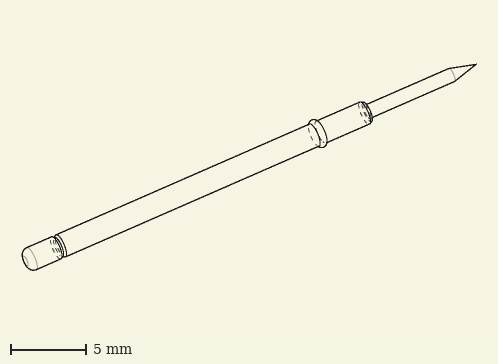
import cadquery as cq

LENGTH = 34.3

BARREL_DIAMETER = 1.6
BARREL_RADIUS = BARREL_DIAMETER / 2
BARREL_LENGTH = 26.0
MOUTH_CHAMFER_LENGTH = 0.2
MOUTH_CHAMFER_DEPTH = 0.1
REAR_FILLET = 0.45

COLLAR_RADIUS = 1.0
COLLAR_WIDTH = 0.5
COLLAR_CENTRE = 22.23

GROOVE_CENTRE = 2.5
GROOVE_WIDTH = 0.35
GROOVE_DEPTH = 0.1

PLUNGER_RADIUS = 0.48
TIP_LENGTH = 1.9


def revolved(outline):
    """Turn a closed outline in the XY plane about the Y axis."""
    return outline.close().revolve(360, (0, 0), (0, 1))


def make_collar():
    """Ring with a round crest that bulges out of the barrel."""
    front = COLLAR_CENTRE + COLLAR_WIDTH / 2
    rear = COLLAR_CENTRE - COLLAR_WIDTH / 2
    return revolved(
        cq.Workplane("XY")
        .moveTo(0, rear)
        .lineTo(BARREL_RADIUS, rear)
        .threePointArc((COLLAR_RADIUS, COLLAR_CENTRE), (BARREL_RADIUS, front))
        .lineTo(0, front)
    )


def make_groove_cutter():
    """Ring of triangular section that cuts a V into the barrel surface."""
    return revolved(
        cq.Workplane("XY")
        .moveTo(BARREL_RADIUS, GROOVE_CENTRE - GROOVE_WIDTH / 2)
        .lineTo(BARREL_RADIUS - GROOVE_DEPTH, GROOVE_CENTRE)
        .lineTo(BARREL_RADIUS, GROOVE_CENTRE + GROOVE_WIDTH / 2)
    )


def make_barrel():
    """Round body with a rounded rear end, a chamfered mouth, the collar and the groove."""
    barrel = cq.Workplane("XZ").circle(BARREL_RADIUS).extrude(-BARREL_LENGTH)
    barrel = barrel.faces("<Y").edges().fillet(REAR_FILLET)
    barrel = barrel.faces(">Y").edges().chamfer(MOUTH_CHAMFER_LENGTH, MOUTH_CHAMFER_DEPTH)
    return barrel.union(make_collar()).cut(make_groove_cutter())


def make_plunger():
    """Round rod with a conical tip, seated on the front face of the barrel."""
    shoulder = LENGTH - TIP_LENGTH
    return revolved(
        cq.Workplane("XY")
        .moveTo(0, BARREL_LENGTH)
        .lineTo(PLUNGER_RADIUS, BARREL_LENGTH)
        .lineTo(PLUNGER_RADIUS, shoulder)
        .lineTo(0, LENGTH)
    )


barrel = make_barrel()
plunger = make_plunger()

result = cq.Compound.makeCompound([barrel.val(), plunger.val()])